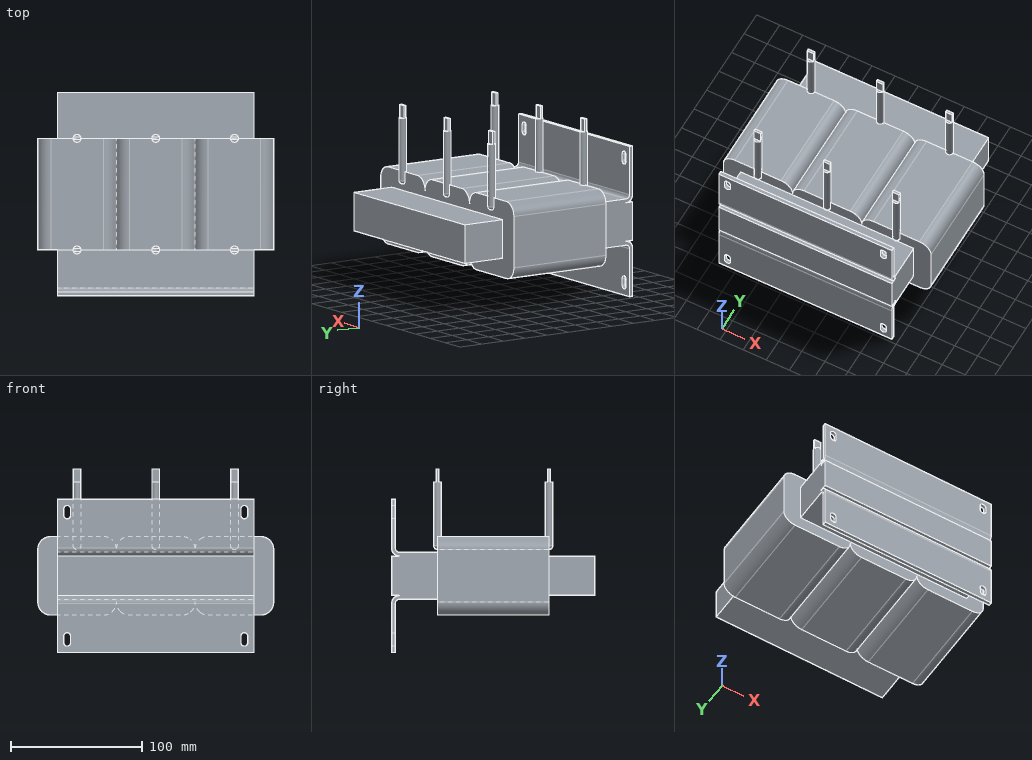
import cadquery as cq

core_width = 150.0
core_length = 155.0
core_height = 30.0
core_front = -core_length / 2
core_top = core_height / 2

coil_size = 60.0
coil_length = 85.0
coil_corner_radius = 10.0
coil_count = 3
coil_centres = [(i - (coil_count - 1) / 2) * coil_size for i in range(coil_count)]
coil_face = coil_length / 2

sheet_thickness = 3.0
bend_inner_radius = 3.0
bend_outer_radius = bend_inner_radius + sheet_thickness
bracket_reach = 58.5

slot_width = 5.0
slot_length = 10.0
slot_side_inset = 7.5
slot_end_inset = 10.0
slot_angle = 90.0

lead_diameter = 6.0
lead_radius = lead_diameter / 2
lead_bottom = 23.0
lead_top = 81.5
tip_length = 10.0
tip_thickness = 2.0


def make_core():
    return cq.Workplane("XY").box(core_width, core_length, core_height)


def make_coil(x):
    return (
        cq.Workplane("XY")
        .box(coil_size, coil_length, coil_size)
        .edges("|Y")
        .fillet(coil_corner_radius)
        .translate((x, 0, 0))
    )


def make_upper_bracket():
    """L-shaped sheet: a flange on the core, bent up into a slotted mounting plate."""
    flange_top = core_top + sheet_thickness
    plate_back = core_front + sheet_thickness
    bend_y = core_front + bend_outer_radius
    bend_z = core_top + bend_outer_radius
    profile = (
        cq.Workplane("YZ")
        .moveTo(-coil_face, core_top)
        .lineTo(bend_y, core_top)
        .radiusArc((core_front, bend_z), bend_outer_radius)
        .lineTo(core_front, bracket_reach)
        .lineTo(plate_back, bracket_reach)
        .lineTo(plate_back, bend_z)
        .radiusArc((bend_y, flange_top), -bend_inner_radius)
        .lineTo(-coil_face, flange_top)
        .close()
    )
    bracket = profile.extrude(core_width / 2, both=True)
    slot_x = core_width / 2 - slot_side_inset
    slot_z = bracket_reach - slot_end_inset
    slots = (
        cq.Workplane("XZ", origin=(0, plate_back, 0))
        .pushPoints([(-slot_x, slot_z), (slot_x, slot_z)])
        .slot2D(slot_length, slot_width, slot_angle)
        .extrude(sheet_thickness)
    )
    return bracket.cut(slots)


def make_lead(x, y):
    """Upright round wire with a ball-shaped lower end and a flat tip."""
    wire = cq.Workplane("XY", origin=(0, 0, lead_bottom)).circle(lead_radius).extrude(lead_top - lead_bottom)
    tip_band = (
        cq.Workplane("XY", origin=(0, 0, lead_top - tip_length))
        .rect(lead_diameter, lead_diameter)
        .rect(lead_diameter, tip_thickness)
        .extrude(tip_length)
    )
    ball = cq.Workplane("XY", origin=(0, 0, lead_bottom)).sphere(lead_radius)
    return wire.cut(tip_band).union(ball).translate((x, y, 0))


result = make_core()
for coil_x in coil_centres:
    result = result.union(make_coil(coil_x))

upper_bracket = make_upper_bracket()
result = result.union(upper_bracket).union(upper_bracket.mirror("XY"))

for lead_x in coil_centres:
    for lead_y in (-coil_face, coil_face):
        result = result.union(make_lead(lead_x, lead_y))